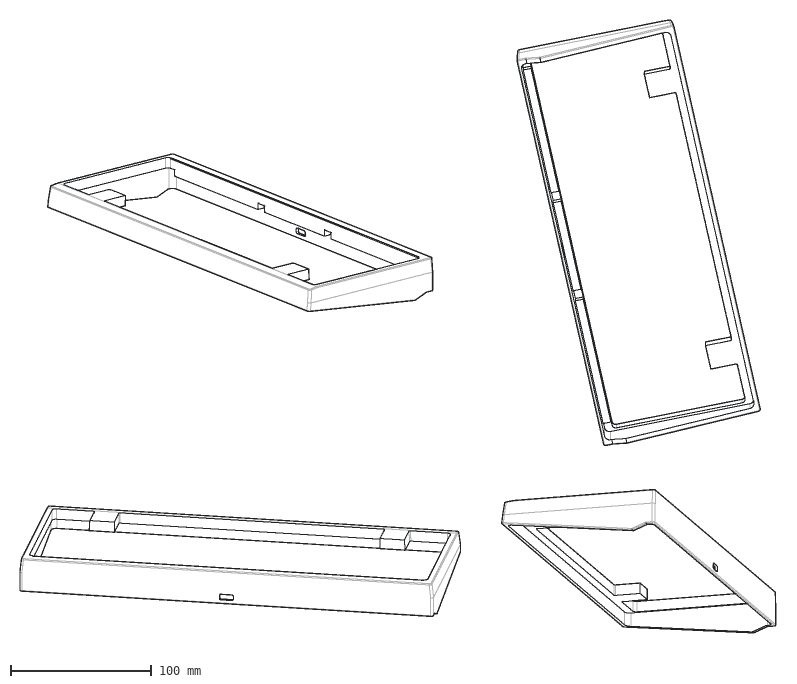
import cadquery as cq
import math

LENGTH = 298.7
DEPTH = 114.0
HEIGHT = 28.7
REAR_Y = DEPTH / 2
FRONT_Y = -DEPTH / 2

SLOPE = math.tan(math.radians(7))
BEVEL_START_Y = -48.0
FRONT_BOTTOM_Z = 12.0
REAR_BOTTOM_Z = 4.0
RAMP_START_Y = 50.5
LOWEST_Y = FRONT_Y + FRONT_BOTTOM_Z / SLOPE

TAPER_START_Z = 18.2
TAPER_INSET = 1.2
OUTER_CORNER_RADIUS = 1.8
EDGE_RADIUS = 0.72

OPENING_HALF_LENGTH = 143.7
OPENING_FRONT_Y = -47.2
OPENING_REAR_Y = 49.3
OPENING_CORNER_RADIUS = 2.55
REAR_RIM_CHAMFER = 0.5

CAVITY_HALF_LENGTH = 145.5
CAVITY_FRONT_Y = -53.5
CAVITY_REAR_Y = 55.0
CAVITY_TOP_Z = 21.0
CAVITY_CORNER_RADIUS = 3.5

TAB_INNER_X = 96.0
TAB_TOP_WIDTH = 17.5
TAB_BOTTOM_WIDTH = 18.2
TAB_TIP_Y = -28.0
TAB_ROOT_RADIUS = 0.8

RIB_BOTTOM_Z = 16.0
RIB_HALF_LENGTH = 136.8
RIB_GAP_X = 38.0
RIB_GAP_WIDTH = 7.8

SLOT_LENGTH = 10.2
SLOT_BOTTOM_Z = 7.0
SLOT_HEIGHT = 4.2
SLOT_CORNER_RADIUS = 1.25

OVERCUT = 3.0


def block(half_length, y_start, y_end, z_start, z_end):
    """A box centred on X = 0."""
    size = (2 * half_length, y_end - y_start, z_end - z_start)
    corner = (-half_length, y_start, z_start)
    return cq.Workplane("XY").box(*size, centered=False).translate(corner)


def outer_body():
    bevel_z_at_front = HEIGHT - (BEVEL_START_Y - FRONT_Y) * SLOPE
    face_height = (bevel_z_at_front - FRONT_BOTTOM_Z) / (1 - SLOPE**2)
    side_profile = [
        (REAR_Y, HEIGHT),
        (BEVEL_START_Y, HEIGHT),
        (FRONT_Y + face_height * SLOPE, FRONT_BOTTOM_Z + face_height),
        (FRONT_Y, FRONT_BOTTOM_Z),
        (LOWEST_Y, 0),
        (RAMP_START_Y, REAR_BOTTOM_Z),
        (REAR_Y, REAR_BOTTOM_Z),
    ]
    body = cq.Workplane("YZ").polyline(side_profile).close().extrude(LENGTH / 2, both=True)

    half = LENGTH / 2
    end_profile = [
        (-half, 0),
        (half, 0),
        (half, TAPER_START_Z),
        (half - TAPER_INSET, HEIGHT),
        (-half + TAPER_INSET, HEIGHT),
        (-half, TAPER_START_Z),
    ]
    body = body.intersect(cq.Workplane("XZ").polyline(end_profile).close().extrude(DEPTH, both=True))

    upright_edges = [edge for edge in body.edges().vals() if abs(edge.tangentAt(0).z) > 0.9]
    body = body.newObject(upright_edges).fillet(OUTER_CORNER_RADIUS)

    level_faces = [face for face in body.faces().vals() if abs(face.normalAt().z) > 0.5]
    level_edges = [edge for face in level_faces for edge in face.Edges()]
    outline = [edge for edge in level_edges if sum(edge.isSame(other) for other in level_edges) == 1]
    return body.newObject(outline).fillet(EDGE_RADIUS)


def tab(side):
    outline = [
        (side * TAB_INNER_X, CAVITY_TOP_Z),
        (side * (TAB_INNER_X + TAB_BOTTOM_WIDTH), CAVITY_TOP_Z),
        (side * (TAB_INNER_X + TAB_TOP_WIDTH), HEIGHT),
        (side * TAB_INNER_X, HEIGHT),
    ]
    length = TAB_TIP_Y - OPENING_FRONT_Y
    return cq.Workplane("XZ", origin=(0, TAB_TIP_Y, 0)).polyline(outline).close().extrude(length)


def rim_opening():
    """The space inside the rim, going around the two tabs."""
    space = block(OPENING_HALF_LENGTH, OPENING_FRONT_Y, OPENING_REAR_Y, CAVITY_TOP_Z, HEIGHT)
    space = space.edges("|Z").fillet(OPENING_CORNER_RADIUS)
    straight_half = OPENING_HALF_LENGTH - OPENING_CORNER_RADIUS
    rear_chamfer = [
        (OPENING_REAR_Y, HEIGHT - REAR_RIM_CHAMFER),
        (OPENING_REAR_Y + REAR_RIM_CHAMFER, HEIGHT),
        (OPENING_REAR_Y, HEIGHT),
    ]
    space = space.union(cq.Workplane("YZ").polyline(rear_chamfer).close().extrude(straight_half, both=True))

    for side in (-1, 1):
        space = space.cut(tab(side))
    tab_roots = [
        edge
        for edge in space.edges().vals()
        if abs(edge.Center().y - OPENING_FRONT_Y) < TAB_ROOT_RADIUS
        and abs(edge.Center().x) < straight_half - OVERCUT
        and abs(edge.tangentAt(0).z) > 0.9
    ]
    return space.newObject(tab_roots).fillet(TAB_ROOT_RADIUS)


def cavity():
    space = block(CAVITY_HALF_LENGTH, CAVITY_FRONT_Y, CAVITY_REAR_Y, -OVERCUT, CAVITY_TOP_Z)
    return space.edges("|Z").fillet(CAVITY_CORNER_RADIUS)


def rear_rib():
    rib_limits = (OPENING_REAR_Y, CAVITY_REAR_Y, RIB_BOTTOM_Z, CAVITY_TOP_Z)
    rib = block(RIB_HALF_LENGTH, *rib_limits)
    gap = block(RIB_GAP_WIDTH / 2, *rib_limits)
    for x in (-RIB_GAP_X, RIB_GAP_X):
        rib = rib.cut(gap.translate((x, 0, 0)))
    return rib


def cable_slot():
    slot_top = SLOT_BOTTOM_Z + SLOT_HEIGHT
    slot = block(SLOT_LENGTH / 2, CAVITY_REAR_Y - OVERCUT, REAR_Y + OVERCUT, SLOT_BOTTOM_Z, slot_top)
    return slot.edges("|Y").fillet(SLOT_CORNER_RADIUS)


result = outer_body().cut(cavity()).cut(rim_opening()).union(rear_rib()).cut(cable_slot())